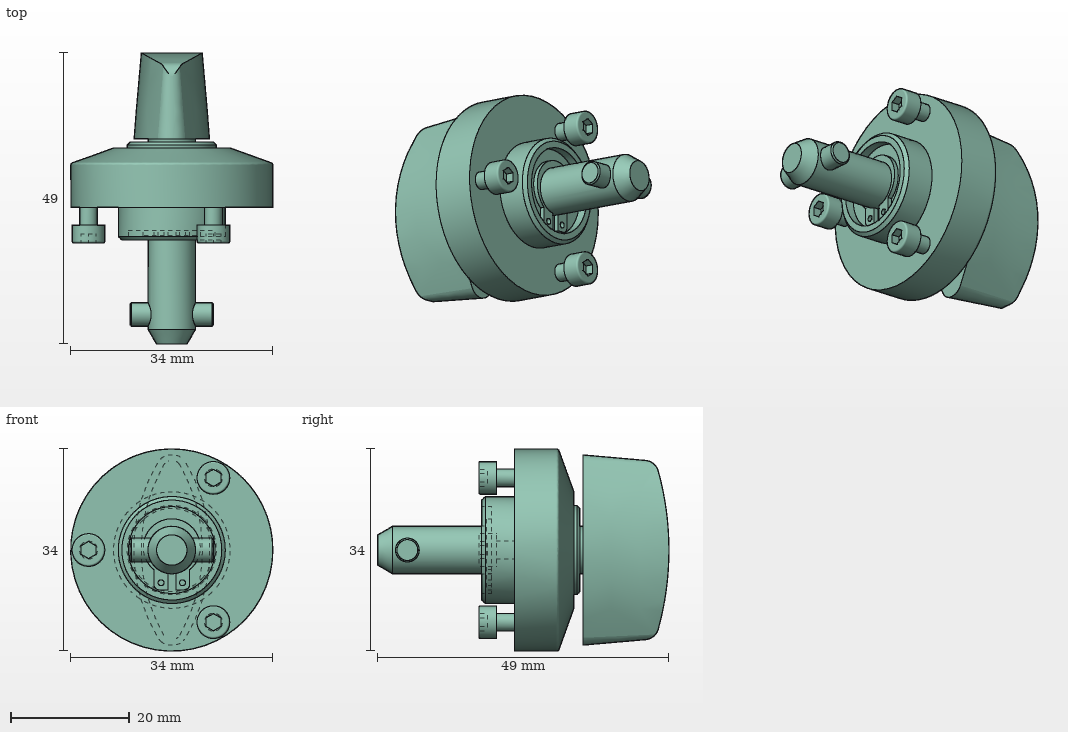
import cadquery as cq
import math


OVERALL_LENGTH = 48.98

FLANGE_DIAMETER = 34.0
FLANGE_THICKNESS = 10.0
FLANGE_RIM_HEIGHT = 7.4
FLANGE_TOP_DIAMETER = 19.6
FLANGE_RIM_FILLET = 0.5

BOSS_DIAMETER = 18.0
BOSS_LENGTH = 5.5
BOSS_CHAMFER = 0.6
RECESS_DIAMETER = 14.6
RECESS_DEPTH = 1.6

COLLAR_DIAMETER = 15.0
COLLAR_HEIGHT = 1.0
COLLAR_CHAMFER = 0.5

SHAFT_DIAMETER = 8.0
SHAFT_REACH = 23.0
TIP_LENGTH = 2.5
TIP_ANGLE = 30.0
PIN_DIAMETER = 4.0
PIN_LENGTH = 14.0
PIN_CHAMFER = 0.25
PIN_TO_TIP = 5.0

RING_DIAMETER = 9.6
RING_OFFSET = 0.45
RING_THICKNESS = 0.8
LUG_REACH = 6.7
LUG_HALF_SPAN = 3.0
LUG_FILLET = 0.9
LUG_HALF_GAP = 0.67
LUG_HOLE_DIAMETER = 1.0
LUG_HOLE_X = 1.8
LUG_HOLE_Z = -5.5

SCREW_COUNT = 3
SCREW_CIRCLE_RADIUS = 14.0
SCREW_SHANK_DIAMETER = 3.0
SCREW_SHANK_LENGTH = 3.0
SCREW_HEAD_DIAMETER = 5.5
SCREW_HEAD_HEIGHT = 3.0
SCREW_HEAD_FILLET = 0.3
HEX_ACROSS_FLATS = 2.5
HEX_DEPTH = 1.5
HEX_SIDES = 6

KNOB_BASE_Y = 11.5
KNOB_HEIGHT = OVERALL_LENGTH - SHAFT_REACH - KNOB_BASE_Y
KNOB_HALF_WIDTH = 6.4
KNOB_HALF_LENGTH = 16.0
KNOB_SIDE_RADIUS = 28.7
KNOB_END_RADIUS = 2.5
KNOB_DRAFT = 5.0
KNOB_CROWN_RADIUS = 50.0
KNOB_CROWN_FILLET = 2.5


def section_at(y):
    """Workplane across the shaft axis: local x is X, local y is Z, extrusion runs toward -Y."""
    return cq.Workplane("XZ", origin=(0, y, 0))


def cylinder(diameter, y_low, y_high):
    """Cylinder on the shaft axis between two Y positions."""
    return section_at(y_high).circle(diameter / 2).extrude(y_high - y_low)


def make_flange():
    rim_radius = FLANGE_DIAMETER / 2
    half_section = (
        cq.Workplane("XY")
        .moveTo(0, 0)
        .lineTo(rim_radius, 0)
        .lineTo(rim_radius, FLANGE_RIM_HEIGHT)
        .lineTo(FLANGE_TOP_DIAMETER / 2, FLANGE_THICKNESS)
        .lineTo(0, FLANGE_THICKNESS)
        .close()
    )
    flange = half_section.revolve(360, (0, 0, 0), (0, 1, 0))
    above_face = cq.selectors.BoxSelector(
        (-FLANGE_DIAMETER, FLANGE_RIM_HEIGHT / 2, -FLANGE_DIAMETER),
        (FLANGE_DIAMETER, (FLANGE_RIM_HEIGHT + FLANGE_THICKNESS) / 2, FLANGE_DIAMETER),
        boundingbox=True,
    )
    return flange.edges("%CIRCLE").edges(above_face).fillet(FLANGE_RIM_FILLET)


def make_boss():
    boss = cylinder(BOSS_DIAMETER, -BOSS_LENGTH, 0).faces("<Y").chamfer(BOSS_CHAMFER)
    recess = cylinder(RECESS_DIAMETER, -BOSS_LENGTH, RECESS_DEPTH - BOSS_LENGTH)
    return boss.cut(recess)


def make_collar():
    collar = cylinder(COLLAR_DIAMETER, FLANGE_THICKNESS, FLANGE_THICKNESS + COLLAR_HEIGHT)
    return collar.faces(">Y").chamfer(COLLAR_CHAMFER)


def make_shaft():
    tip_inset = TIP_LENGTH * math.tan(math.radians(TIP_ANGLE))
    shaft = cylinder(SHAFT_DIAMETER, -SHAFT_REACH, KNOB_BASE_Y)
    return shaft.faces("<Y").chamfer(TIP_LENGTH, tip_inset)


def make_cross_pin():
    pin_y = PIN_TO_TIP - SHAFT_REACH
    pin = (
        cq.Workplane("YZ", origin=(0, pin_y, 0))
        .circle(PIN_DIAMETER / 2)
        .extrude(PIN_LENGTH / 2, both=True)
    )
    return pin.faces("<X or >X").chamfer(PIN_CHAMFER)


def make_retaining_ring():
    floor_y = RECESS_DEPTH - BOSS_LENGTH
    ring = section_at(floor_y).center(0, RING_OFFSET).circle(RING_DIAMETER / 2).extrude(RING_THICKNESS)
    lugs = (
        section_at(floor_y)
        .center(0, -LUG_REACH / 2)
        .rect(2 * LUG_HALF_SPAN, LUG_REACH)
        .extrude(RING_THICKNESS)
        .edges("|Y and <Z")
        .fillet(LUG_FILLET)
    )
    gap = (
        section_at(floor_y)
        .center(0, -LUG_REACH / 2)
        .rect(2 * LUG_HALF_GAP, LUG_REACH)
        .extrude(RING_THICKNESS)
    )
    holes = (
        section_at(floor_y)
        .pushPoints([(-LUG_HOLE_X, LUG_HOLE_Z), (LUG_HOLE_X, LUG_HOLE_Z)])
        .circle(LUG_HOLE_DIAMETER / 2)
        .extrude(RING_THICKNESS)
    )
    return ring.union(lugs).cut(gap).cut(holes)


def make_screw(x, z):
    head_top_y = -SCREW_SHANK_LENGTH
    head_end_y = head_top_y - SCREW_HEAD_HEIGHT
    hex_corner_diameter = HEX_ACROSS_FLATS / math.cos(math.pi / HEX_SIDES)
    shank = cylinder(SCREW_SHANK_DIAMETER, head_top_y, 0)
    head = cylinder(SCREW_HEAD_DIAMETER, head_end_y, head_top_y)
    head = head.faces("<Y").edges().fillet(SCREW_HEAD_FILLET)
    socket = (
        section_at(head_end_y + HEX_DEPTH)
        .transformed(rotate=(0, 0, 90))
        .polygon(HEX_SIDES, hex_corner_diameter)
        .extrude(HEX_DEPTH)
    )
    return shank.union(head.cut(socket)).translate((x, 0, z))


def make_knob_body():
    """Lens-shaped tapered body: two wide side arcs blended into a narrow flat at each end."""
    end_centre_z = KNOB_HALF_LENGTH - KNOB_END_RADIUS
    side_centre_x = KNOB_HALF_WIDTH - KNOB_SIDE_RADIUS
    reach_to_end_centre = KNOB_SIDE_RADIUS - KNOB_END_RADIUS
    end_centre_x = side_centre_x + math.sqrt(reach_to_end_centre**2 - end_centre_z**2)
    blend_angle = math.asin(end_centre_z / reach_to_end_centre)
    end_mid_angle = (blend_angle + math.pi / 2) / 2

    def end_arc_point(angle, x_sign, z_sign):
        x = end_centre_x + KNOB_END_RADIUS * math.cos(angle)
        z = end_centre_z + KNOB_END_RADIUS * math.sin(angle)
        return (x_sign * x, z_sign * z)

    base_plane = cq.Plane(origin=(0, KNOB_BASE_Y, 0), xDir=(1, 0, 0), normal=(0, 1, 0))
    outline = (
        cq.Workplane(base_plane)
        .moveTo(*end_arc_point(blend_angle, 1, -1))
        .threePointArc((KNOB_HALF_WIDTH, 0), end_arc_point(blend_angle, 1, 1))
        .threePointArc(end_arc_point(end_mid_angle, 1, 1), (end_centre_x, KNOB_HALF_LENGTH))
        .lineTo(-end_centre_x, KNOB_HALF_LENGTH)
        .threePointArc(end_arc_point(end_mid_angle, -1, 1), end_arc_point(blend_angle, -1, 1))
        .threePointArc((-KNOB_HALF_WIDTH, 0), end_arc_point(blend_angle, -1, -1))
        .threePointArc(end_arc_point(end_mid_angle, -1, -1), (-end_centre_x, -KNOB_HALF_LENGTH))
        .lineTo(end_centre_x, -KNOB_HALF_LENGTH)
        .threePointArc(end_arc_point(end_mid_angle, 1, -1), end_arc_point(blend_angle, 1, -1))
        .close()
    )
    return outline.extrude(KNOB_HEIGHT, taper=KNOB_DRAFT)


def make_crown():
    """Block across the knob: drafted ends under an arched top, rounded where they meet."""
    top_y = KNOB_BASE_Y + KNOB_HEIGHT
    end_inset = KNOB_HEIGHT * math.tan(math.radians(KNOB_DRAFT))
    top_half_length = KNOB_HALF_LENGTH - end_inset
    ends = (
        cq.Workplane("YZ")
        .moveTo(KNOB_BASE_Y, -KNOB_HALF_LENGTH)
        .lineTo(top_y, -top_half_length)
        .lineTo(top_y, top_half_length)
        .lineTo(KNOB_BASE_Y, KNOB_HALF_LENGTH)
        .close()
        .extrude(KNOB_HALF_WIDTH, both=True)
    )
    arch = (
        cq.Workplane("YZ")
        .center(top_y - KNOB_CROWN_RADIUS, 0)
        .circle(KNOB_CROWN_RADIUS)
        .extrude(KNOB_HALF_WIDTH, both=True)
    )
    above_middle = cq.selectors.BoxSelector(
        (-KNOB_HALF_WIDTH, KNOB_BASE_Y + KNOB_HEIGHT / 2, -KNOB_HALF_LENGTH),
        (KNOB_HALF_WIDTH, top_y, KNOB_HALF_LENGTH),
    )
    return ends.intersect(arch).edges("|X").edges(above_middle).fillet(KNOB_CROWN_FILLET)


def make_assembly():
    body = make_flange().union(make_boss()).union(make_collar())
    body = body.union(make_retaining_ring()).union(make_shaft()).union(make_cross_pin())
    for index in range(SCREW_COUNT):
        angle = math.pi + index * 2 * math.pi / SCREW_COUNT
        x = SCREW_CIRCLE_RADIUS * math.cos(angle)
        z = SCREW_CIRCLE_RADIUS * math.sin(angle)
        body = body.union(make_screw(x, z))
    knob = make_knob_body().intersect(make_crown())
    return body.union(knob)


result = make_assembly()